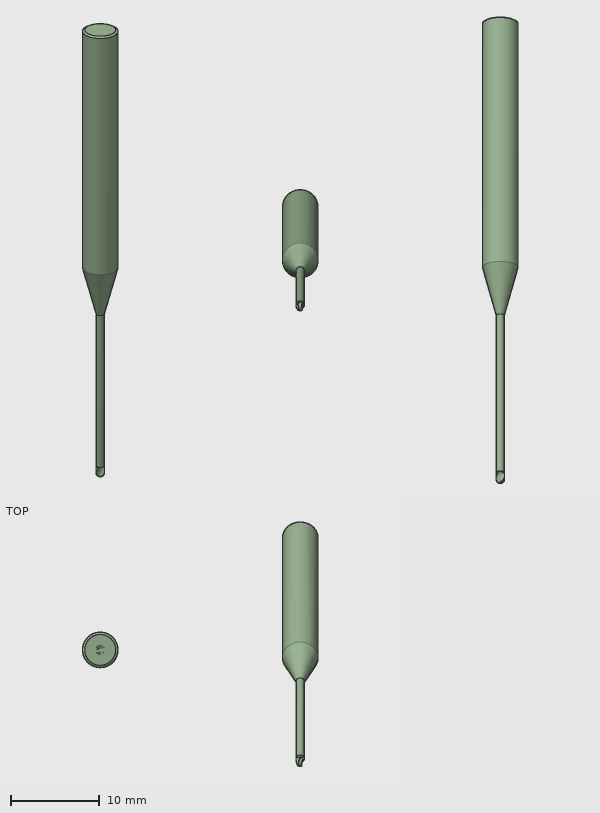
import cadquery as cq
import math

total_length = 55.0
shank_diameter = 4.0
shank_bottom = 25.75
end_chamfer_width = 0.3
end_chamfer_height = 0.15
neck_top = 20.0
neck_diameter = 0.95
cutter_diameter = 1.0
flute_length = 1.3
web_thickness = 0.4
helix_angle = 30.0
blade_start_angle = 22.0

shank_radius = shank_diameter / 2
neck_radius = neck_diameter / 2
cutter_radius = cutter_diameter / 2


def make_shank():
    """Cylindrical shank with a chamfered end and a cone down to the neck."""
    return (
        cq.Workplane("XZ")
        .moveTo(0, neck_top)
        .lineTo(neck_radius, neck_top)
        .lineTo(shank_radius, shank_bottom)
        .lineTo(shank_radius, total_length - end_chamfer_height)
        .lineTo(shank_radius - end_chamfer_width, total_length)
        .lineTo(0, total_length)
        .close()
        .revolve(360, (0, 0, 0), (0, 1, 0))
    )


def make_fluted_head():
    """Ball-nosed head with two helical flutes on either side of a web."""
    diagonal = cutter_radius * math.sin(math.pi / 4)
    envelope = (
        cq.Workplane("XZ")
        .threePointArc((diagonal, cutter_radius - diagonal), (cutter_radius, cutter_radius))
        .lineTo(cutter_radius, flute_length)
        .lineTo(0, flute_length)
        .close()
        .revolve(360, (0, 0, 0), (0, 1, 0))
    )
    twist = math.degrees(flute_length * math.tan(math.radians(helix_angle)) / cutter_radius)
    blade_width = 1.5 * cutter_diameter
    blades = (
        cq.Workplane("XY")
        .transformed(rotate=(0, 0, blade_start_angle))
        .rect(blade_width, web_thickness)
        .twistExtrude(flute_length, twist)
    )
    return envelope.intersect(blades)


def make_cutter():
    """Cutting body: the fluted head and the slender neck that carries it."""
    neck = (
        cq.Workplane("XY")
        .workplane(offset=flute_length)
        .circle(neck_radius)
        .extrude(neck_top - flute_length)
    )
    return neck.union(make_fluted_head())


shank = make_shank()
cutter = make_cutter()

result = cq.Compound.makeCompound([shank.val(), *cutter.solids().vals()])